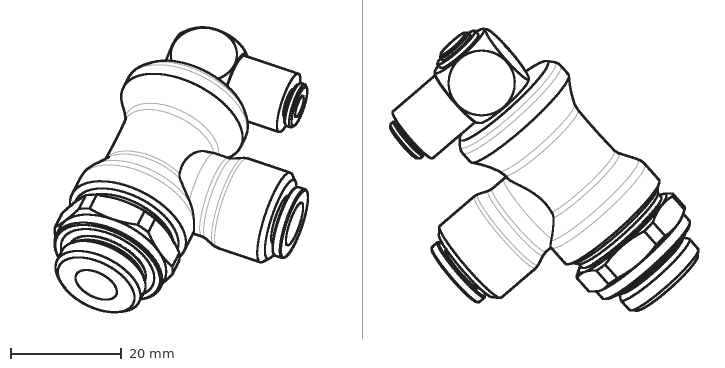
import cadquery as cq
import math

OVERALL_LENGTH = 58.6

SPIGOT_RADIUS = 8.3
SPIGOT_CHAMFER = 0.8
SPIGOT_TOP = 3.2
GROOVE_RADIUS = 7.55
GROOVE_START = 4.2
RING_TUBE_RADIUS = 0.8
RING_RADIUS = 8.3
RING_Y = 5.5

FLANGE_START = 5.4
FLANGE_RADIUS = 10.55
FLANGE_CHAMFER = 0.3
NUT_START = 7.6
NUT_END = 12.15
NUT_FLATS = 2 * FLANGE_RADIUS
NUT_CORNER_RADIUS = 11.55
NUT_CHAMFER_LENGTH = 0.6

STEM_RADIUS = 9.0
WASHER_START = 12.4
WASHER_END = 13.4
WASHER_RADIUS = 9.6
LIP_END = 14.25
LIP_RADIUS = 10.2
LIP_BULGE = 0.1

BODY_START = 14.95
BODY_RADIUS = 11.35
WAIST_RADIUS = 8.9
WAIST_HOLLOW = 0.1
WAIST_END = 35.05
SHOULDER_END = 19.65
SHOULDER_ANGLE = 30.0
SHOULDER_ROUND = 2.8
WAIST_ROUND = 2.1
RIM_RADIUS = 11.9
RIM_START = 40.4
RIM_CORNER = 43.15
RIM_ROUND = 1.65
RIM_TOP_RADIUS = 10.65
FLARE_HOLLOW = 0.3
FLARE_ROUND = 3.8

BLOCK_SIZE = 12.2
BLOCK_FACE_RADIUS = 6.0
CAP_STEP = 0.9
CAP_LOWER_RADIUS = 4.6
CAP_UPPER_RADIUS = 3.4
CAP_CHAMFER = 0.35
BLOCK_TOP = OVERALL_LENGTH - 2 * CAP_STEP
BLOCK_CENTRE = BLOCK_TOP - BLOCK_SIZE / 2
BODY_TOP = BLOCK_TOP - BLOCK_SIZE

LARGE_PORT_Y = 26.25
LARGE_NECK_RADIUS = 7.5
LARGE_NECK_START = 9.65
LARGE_CONE_START = 12.9
LARGE_CONE_END = 15.45
LARGE_PORT_RADIUS = 8.55
LARGE_NECK_ROUND = 2.2
LARGE_PORT_ROUND = 1.75
LARGE_PORT_END = 25.2
LARGE_PORT_CHAMFER = 1.05
LARGE_SLEEVE_RADIUS = 4.6
LARGE_COLLAR_RADIUS = 6.55
LARGE_COLLAR_START = 26.2
LARGE_COLLAR_END = 27.9
LARGE_COLLAR_CHAMFER = 0.2

SMALL_PORT_RADIUS = 5.55
SMALL_PORT_END = 16.6
SMALL_SLEEVE_RADIUS = 2.65
SMALL_COLLAR_RADIUS = 4.1
SMALL_COLLAR_START = 17.2
SMALL_COLLAR_END = 18.7
SMALL_COLLAR_CHAMFER = 0.35

LARGE_BORE_RADIUS = 4.05
SMALL_BORE_RADIUS = LARGE_BORE_RADIUS / 2

MATCH_TOLERANCE = 0.005


def disc_y(radius, start, end):
    """Cylinder on the body axis between two Y positions."""
    return cq.Workplane("XZ", origin=(0, start, 0)).circle(radius).extrude(start - end)


def disc_x(radius, start, end, y):
    """Cylinder along X between two X positions, on the axis at height y."""
    return cq.Workplane("YZ", origin=(start, y, 0)).circle(radius).extrude(end - start)


def round_rim(solid, x, y, radius):
    """Round the circular edge of a turned solid that is centred on (x, y, 0)."""
    centre = cq.Vector(x, y, 0)
    rim = solid.edges("%CIRCLE").filter(lambda edge: (edge.Center() - centre).Length < MATCH_TOLERANCE)
    return rim.fillet(radius)


def hollow_midpoint(start, end, hollow):
    """Midpoint of a profile line, moved towards the axis by the hollow."""
    return ((start[0] + end[0]) / 2 - hollow, (start[1] + end[1]) / 2)


def make_spigot():
    profile = (
        cq.Workplane("XY")
        .moveTo(0, 0)
        .lineTo(SPIGOT_RADIUS - SPIGOT_CHAMFER, 0)
        .lineTo(SPIGOT_RADIUS, SPIGOT_CHAMFER)
        .lineTo(SPIGOT_RADIUS, SPIGOT_TOP)
        .lineTo(GROOVE_RADIUS, GROOVE_START)
        .lineTo(GROOVE_RADIUS, NUT_START)
        .lineTo(0, NUT_START)
        .close()
    )
    spigot = profile.revolve(360, (0, 0), (0, 1))
    sealing_ring = (
        cq.Workplane("XY")
        .center(RING_RADIUS, RING_Y)
        .circle(RING_TUBE_RADIUS)
        .revolve(360, (-RING_RADIUS, 0), (-RING_RADIUS, 1))
    )
    flange = disc_y(FLANGE_RADIUS, FLANGE_START, NUT_START).faces("<Y").chamfer(FLANGE_CHAMFER)
    return spigot.union(flange).union(sealing_ring)


def make_nut():
    corner_to_corner = NUT_FLATS / math.cos(math.pi / 6)
    hexagon = (
        cq.Workplane("XZ", origin=(0, NUT_START, 0))
        .polygon(6, corner_to_corner)
        .extrude(NUT_START - NUT_END)
    )
    chamfered_blank = (
        disc_y(NUT_CORNER_RADIUS, NUT_START, NUT_END)
        .faces("<Y or >Y")
        .edges()
        .chamfer(NUT_CHAMFER_LENGTH, NUT_CORNER_RADIUS - NUT_FLATS / 2)
    )
    return hexagon.intersect(chamfered_blank)


def make_body():
    shoulder_length = (BODY_RADIUS - WAIST_RADIUS) / math.tan(math.radians(SHOULDER_ANGLE))
    waist_start = SHOULDER_END + shoulder_length
    lower_waist = (WAIST_RADIUS, waist_start)
    upper_waist = (WAIST_RADIUS, WAIST_END)
    rim = (RIM_RADIUS, RIM_START)
    washer_top = (WASHER_RADIUS, WASHER_END)
    lip_top = (LIP_RADIUS, LIP_END)
    profile = (
        cq.Workplane("XY")
        .moveTo(0, NUT_START)
        .lineTo(STEM_RADIUS, NUT_START)
        .lineTo(STEM_RADIUS, WASHER_START)
        .lineTo(WASHER_RADIUS, WASHER_START)
        .lineTo(*washer_top)
        .threePointArc(hollow_midpoint(washer_top, lip_top, -LIP_BULGE), lip_top)
        .lineTo(BODY_RADIUS, BODY_START)
        .lineTo(BODY_RADIUS, SHOULDER_END)
        .lineTo(*lower_waist)
        .threePointArc(hollow_midpoint(lower_waist, upper_waist, WAIST_HOLLOW), upper_waist)
        .threePointArc(hollow_midpoint(upper_waist, rim, FLARE_HOLLOW), rim)
        .lineTo(RIM_RADIUS, RIM_CORNER)
        .lineTo(RIM_TOP_RADIUS, BODY_TOP)
        .lineTo(0, BODY_TOP)
        .close()
    )
    body = profile.revolve(360, (0, 0), (0, 1))
    rounds = [
        (SHOULDER_END, SHOULDER_ROUND),
        (waist_start, WAIST_ROUND),
        (WAIST_END, FLARE_ROUND),
        (RIM_CORNER, RIM_ROUND),
    ]
    for y, radius in rounds:
        body = round_rim(body, 0, y, radius)
    return body


def make_head():
    trim_radius = math.hypot(BLOCK_SIZE / 2, BLOCK_FACE_RADIUS)
    cube = cq.Workplane("XY").box(BLOCK_SIZE, BLOCK_SIZE, BLOCK_SIZE)
    trim_ball = cq.Workplane("XY").sphere(trim_radius)
    block = cube.intersect(trim_ball).translate((0, BLOCK_CENTRE, 0))
    lower_cap = disc_y(CAP_LOWER_RADIUS, BLOCK_CENTRE, BLOCK_TOP + CAP_STEP)
    upper_cap = disc_y(CAP_UPPER_RADIUS, BLOCK_CENTRE, OVERALL_LENGTH).faces(">Y").chamfer(CAP_CHAMFER)
    return block.union(lower_cap).union(upper_cap)


def make_collar(radius, start, end, chamfer, y):
    return disc_x(radius, start, end, y).faces("<X or >X").edges().chamfer(chamfer)


def make_large_port():
    dome_offset = LARGE_NECK_RADIUS * math.sqrt(0.5)
    profile = (
        cq.Workplane("XY", origin=(0, LARGE_PORT_Y, 0))
        .moveTo(LARGE_NECK_START - LARGE_NECK_RADIUS, 0)
        .threePointArc(
            (LARGE_NECK_START - dome_offset, dome_offset), (LARGE_NECK_START, LARGE_NECK_RADIUS)
        )
        .lineTo(LARGE_CONE_START, LARGE_NECK_RADIUS)
        .lineTo(LARGE_CONE_END, LARGE_PORT_RADIUS)
        .lineTo(LARGE_PORT_END, LARGE_PORT_RADIUS)
        .lineTo(LARGE_PORT_END, 0)
        .close()
    )
    shell = profile.revolve(360, (0, 0), (1, 0)).faces(">X").chamfer(LARGE_PORT_CHAMFER)
    for x, radius in [(LARGE_CONE_START, LARGE_NECK_ROUND), (LARGE_CONE_END, LARGE_PORT_ROUND)]:
        shell = round_rim(shell, x, LARGE_PORT_Y, radius)
    sleeve = disc_x(LARGE_SLEEVE_RADIUS, LARGE_NECK_START, LARGE_COLLAR_END, LARGE_PORT_Y)
    collar = make_collar(
        LARGE_COLLAR_RADIUS, LARGE_COLLAR_START, LARGE_COLLAR_END, LARGE_COLLAR_CHAMFER, LARGE_PORT_Y
    )
    return shell.union(sleeve).union(collar)


def make_small_port():
    shell = disc_x(SMALL_PORT_RADIUS, 0, SMALL_PORT_END, BLOCK_CENTRE)
    sleeve = disc_x(SMALL_SLEEVE_RADIUS, 0, SMALL_COLLAR_END, BLOCK_CENTRE)
    collar = make_collar(
        SMALL_COLLAR_RADIUS, SMALL_COLLAR_START, SMALL_COLLAR_END, SMALL_COLLAR_CHAMFER, BLOCK_CENTRE
    )
    return shell.union(sleeve).union(collar)


def make_elbow_bore(radius, turn_y, outlet_x):
    """Bore that enters at Y = 0, turns at a ball end and leaves along +X."""
    dome_offset = radius * math.sqrt(0.5)
    profile = (
        cq.Workplane("XY")
        .lineTo(radius, 0)
        .lineTo(radius, turn_y)
        .threePointArc((dome_offset, turn_y + dome_offset), (0, turn_y + radius))
        .close()
    )
    inlet = profile.revolve(360, (0, 0), (0, 1))
    outlet = disc_x(radius, 0, outlet_x, turn_y)
    return inlet.union(outlet)


fitting = make_spigot()
for piece in [make_nut(), make_body(), make_head(), make_large_port(), make_small_port()]:
    fitting = fitting.union(piece)

large_bore = make_elbow_bore(LARGE_BORE_RADIUS, LARGE_PORT_Y, LARGE_COLLAR_END)
small_bore = make_elbow_bore(SMALL_BORE_RADIUS, BLOCK_CENTRE, SMALL_COLLAR_END)
result = fitting.cut(large_bore).cut(small_bore)